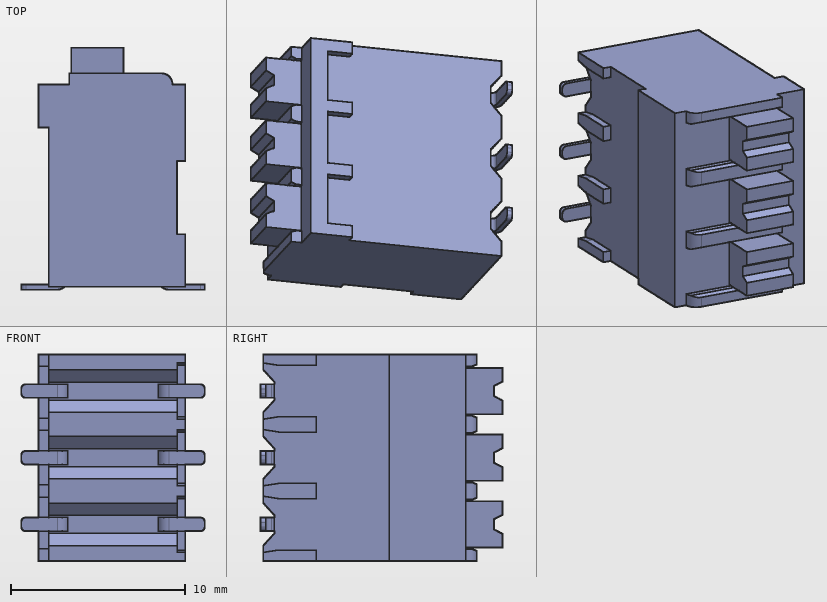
import cadquery as cq


pole_pitch = 3.81
pole_centres = [i * pole_pitch for i in (-1, 0, 1)]
rib_centres = [-pole_pitch / 2, pole_pitch / 2]

height = 11.81
body_left = -3.68
head_left = -4.27
body_right = 4.14
recess_x = 3.67
head_y = 9.1
shoulder_y = 11.58

step_left = -2.5
step_right = 3.41
step_y = 12.22
step_slot_height = 2.81
step_slot_flare = 0.11
step_slot_flare_depth = 0.28

button_left = -2.4
button_right = 0.61
button_height = 2.66
button_y = 13.68
button_notch_depth = 0.48
button_notch_mouth = 1.08
button_notch_floor = 0.58

pocket_y = 10.57
prong_height = 0.69

cross_recess_start = 3.02
cross_recess_end = 7.19
window_mouth = 3.21
window_height = 2.94
window_flare_depth = 0.89

groove_depth = 0.64
groove_mouth = 2.42
groove_floor = 1.02

lead_span = 10.5
lead_height = 0.79
lead_thickness = 0.32
lead_bend_radius = 0.62
lead_leg_half_gap = 2.58
lead_front_y = -0.17
lead_tip_radius = 0.26
lead_embed = 0.14


def box(x_range, y_range, z_centre, z_size):
    """Block between two X values and two Y values, centred on a Z value."""
    return (
        cq.Workplane("XY")
        .box(x_range[1] - x_range[0], y_range[1] - y_range[0], z_size, centered=(False, False, True))
        .translate((x_range[0], y_range[0], z_centre))
    )


def bar_along_x(points, x_range):
    """Prism along X from an outline of (Y, Z) points."""
    profile = cq.Workplane("YZ", origin=(x_range[0], 0, 0))
    return profile.polyline(points).close().extrude(x_range[1] - x_range[0])


def tapered_bar(x_range, y_start, y_end, start_height, end_height, z_centre):
    """Prism along X whose height changes evenly from y_start to y_end."""
    points = [
        (y_start, z_centre - start_height / 2),
        (y_end, z_centre - end_height / 2),
        (y_end, z_centre + end_height / 2),
        (y_start, z_centre + start_height / 2),
    ]
    return bar_along_x(points, x_range)


def housing_block():
    """Stepped outline of the housing, with its rounded step and the cross recess."""
    step_radius = step_y - shoulder_y
    corner = step_radius * 0.5**0.5
    return (
        cq.Workplane("XY", origin=(0, 0, -height / 2))
        .moveTo(body_left, 0)
        .lineTo(body_right, 0)
        .lineTo(body_right, cross_recess_start)
        .lineTo(recess_x, cross_recess_start)
        .lineTo(recess_x, cross_recess_end)
        .lineTo(body_right, cross_recess_end)
        .lineTo(body_right, shoulder_y)
        .lineTo(step_right, shoulder_y)
        .threePointArc(
            (step_right - step_radius + corner, shoulder_y + corner),
            (step_right - step_radius, step_y),
        )
        .lineTo(step_left, step_y)
        .lineTo(step_left, shoulder_y)
        .lineTo(head_left, shoulder_y)
        .lineTo(head_left, head_y)
        .lineTo(body_left, head_y)
        .close()
        .extrude(height)
    )


def head_pockets():
    """Space under the head between the prongs, one pocket per pole."""
    x_range = (head_left, body_left)
    y_range = (head_y, pocket_y)
    pockets = box(x_range, y_range, 0, height - 2 * prong_height)
    for z in rib_centres:
        pockets = pockets.cut(box(x_range, y_range, z, prong_height))
    return pockets


def step_slot(z):
    """Slot through the step for one button, flared towards the back."""
    x_range = (step_left, step_right)
    flare_y = step_y - step_slot_flare_depth
    slot = box(x_range, (shoulder_y, step_y), z, step_slot_height)
    mouth_height = step_slot_height + 2 * step_slot_flare
    return slot.union(tapered_bar(x_range, flare_y, step_y, step_slot_height, mouth_height, z))


def side_window(z):
    """Recess on the right side, open into the cross recess and flared towards the lead side."""
    x_range = (recess_x, body_right)
    window = box(x_range, (0, cross_recess_start), z, window_height)
    return window.union(tapered_bar(x_range, 0, window_flare_depth, window_mouth, window_height, z))


def lead_groove(z):
    """V-groove with a flat floor across the lead-side face."""
    return tapered_bar((body_left, body_right), 0, groove_depth, groove_mouth, groove_floor, z)


def button(z):
    """Push button with a screwdriver notch in its end."""
    x_range = (button_left, button_right)
    block = box(x_range, (shoulder_y, button_y), z, button_height)
    floor_y = button_y - button_notch_depth
    return block.cut(
        tapered_bar(x_range, button_y, floor_y, button_notch_mouth, button_notch_floor, z)
    )


def right_lead(z):
    """Bent lead from the groove floor to its rounded tip on the right."""
    tip_x = lead_span / 2
    inner_radius = lead_bend_radius - lead_thickness
    bend_x = lead_leg_half_gap + lead_bend_radius
    bend_y = lead_front_y + lead_bend_radius
    outer_corner = lead_bend_radius * 0.5**0.5
    inner_corner = inner_radius * 0.5**0.5
    leg_end_y = groove_depth + lead_embed
    return (
        cq.Workplane("XY", origin=(0, 0, z - lead_height / 2))
        .moveTo(tip_x, lead_front_y)
        .lineTo(bend_x, lead_front_y)
        .threePointArc((bend_x - outer_corner, bend_y - outer_corner), (lead_leg_half_gap, bend_y))
        .lineTo(lead_leg_half_gap, leg_end_y)
        .lineTo(lead_leg_half_gap + lead_thickness, leg_end_y)
        .lineTo(lead_leg_half_gap + lead_thickness, bend_y)
        .threePointArc(
            (bend_x - inner_corner, bend_y - inner_corner),
            (bend_x, lead_front_y + lead_thickness),
        )
        .lineTo(tip_x, lead_front_y + lead_thickness)
        .close()
        .extrude(lead_height)
        .faces(">X")
        .edges("|Y")
        .fillet(lead_tip_radius)
    )


housing = housing_block().cut(head_pockets())
for pole_z in pole_centres:
    housing = housing.cut(step_slot(pole_z)).cut(side_window(pole_z)).cut(lead_groove(pole_z))

result = housing
for pole_z in pole_centres:
    lead = right_lead(pole_z)
    result = result.union(button(pole_z)).union(lead).union(lead.mirror("YZ"))